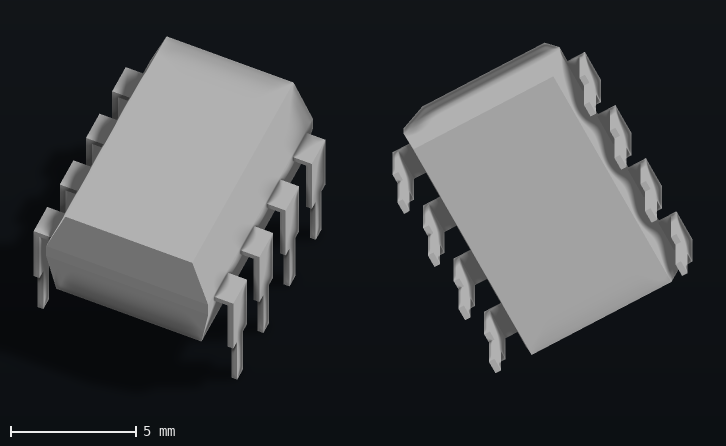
import cadquery as cq

LEAD_SPAN = 8.76
LEAD_LENGTH_BELOW_SEAT = 2.56
OVERALL_HEIGHT = 8.0

HOUSING_WIDTH = 7.11
HOUSING_LENGTH = 10.16
HOUSING_HEIGHT = 5.08
BAND_HEIGHT = 0.67
TOP_INSET_X = 0.77
BOTTOM_INSET_X = 0.37
END_INSET_Y = 0.165

LEADS_PER_SIDE = 4
LEAD_PITCH = 2.54
LEAD_THICKNESS = 0.254
SHOULDER_WIDTH = 1.32
TIP_WIDTH = 0.56

MARK_DIAMETER = 0.36
MARK_DEPTH = 0.1
MARK_X = -1.83

TIP_Z = -LEAD_LENGTH_BELOW_SEAT
HOUSING_TOP_Z = TIP_Z + OVERALL_HEIGHT
HOUSING_MID_Z = HOUSING_TOP_Z - HOUSING_HEIGHT / 2
BAND_BOTTOM_Z = HOUSING_MID_Z - BAND_HEIGHT / 2
BAND_TOP_Z = HOUSING_MID_Z + BAND_HEIGHT / 2
TAPER_HEIGHT = (HOUSING_HEIGHT - BAND_HEIGHT) / 2
LEAD_TOP_Z = HOUSING_MID_Z + LEAD_THICKNESS / 2
LEAD_OUTER_X = LEAD_SPAN / 2
LEAD_INNER_X = HOUSING_WIDTH / 2
FIRST_LEAD_Y = LEAD_PITCH * (LEADS_PER_SIDE - 1) / 2


def make_tapered_half(band_z, height, inset_x):
    """Loft from the band outline to a smaller face; a negative height goes down."""
    return (
        cq.Workplane("XY", origin=(0, 0, band_z))
        .rect(HOUSING_WIDTH, HOUSING_LENGTH)
        .workplane(offset=height)
        .rect(HOUSING_WIDTH - 2 * inset_x, HOUSING_LENGTH - 2 * END_INSET_Y)
        .loft(ruled=True)
    )


def make_pin_one_mark():
    """Thin disc whose top face lies level with the housing top."""
    return (
        cq.Workplane("XY", origin=(MARK_X, FIRST_LEAD_Y, HOUSING_TOP_Z))
        .circle(MARK_DIAMETER / 2)
        .extrude(-MARK_DEPTH)
    )


def make_housing(mark):
    """Band and two tapered halves, with a recess that holds the mark."""
    band = (
        cq.Workplane("XY", origin=(0, 0, BAND_BOTTOM_Z))
        .rect(HOUSING_WIDTH, HOUSING_LENGTH)
        .extrude(BAND_HEIGHT)
    )
    upper_half = make_tapered_half(BAND_TOP_Z, TAPER_HEIGHT, TOP_INSET_X)
    lower_half = make_tapered_half(BAND_BOTTOM_Z, -TAPER_HEIGHT, BOTTOM_INSET_X)
    return band.union(upper_half).union(lower_half).cut(mark)


def make_lead(side, y):
    """Bent lead: a wide L from the housing side to the seat, then a narrow tip.

    side is -1 for the -X row and +1 for the +X row.
    """
    outer_x = side * LEAD_OUTER_X
    leg_inner_x = side * (LEAD_OUTER_X - LEAD_THICKNESS)
    root_x = side * LEAD_INNER_X
    shoulder = (
        cq.Workplane("XZ", origin=(0, y, 0))
        .moveTo(root_x, LEAD_TOP_Z)
        .lineTo(outer_x, LEAD_TOP_Z)
        .lineTo(outer_x, 0)
        .lineTo(leg_inner_x, 0)
        .lineTo(leg_inner_x, LEAD_TOP_Z - LEAD_THICKNESS)
        .lineTo(root_x, LEAD_TOP_Z - LEAD_THICKNESS)
        .close()
        .extrude(SHOULDER_WIDTH / 2, both=True)
    )
    tip = (
        cq.Workplane("XY", origin=((outer_x + leg_inner_x) / 2, y, 0))
        .rect(LEAD_THICKNESS, TIP_WIDTH)
        .extrude(TIP_Z)
    )
    return shoulder.union(tip)


pin_one_mark = make_pin_one_mark()
housing = make_housing(pin_one_mark)

leads = []
for row_side in (-1, 1):
    for index in range(LEADS_PER_SIDE):
        leads.append(make_lead(row_side, FIRST_LEAD_Y - index * LEAD_PITCH))

result = cq.Compound.makeCompound(
    [housing.val(), pin_one_mark.val(), *[lead.val() for lead in leads]]
)